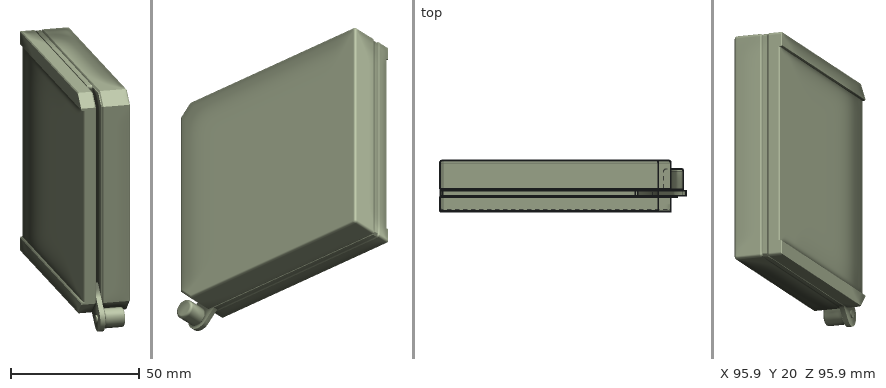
import cadquery as cq
import math

overall_side = 95.9

case_side = 90.0
case_depth = 20.0
corner_radius = 1.15
corner_cut = 5.0
rear_fillet = 1.0

lid_depth = 6.1
plate_depth = 2.0
gap_width = 0.3
plate_front = lid_depth
plate_back = plate_front + plate_depth
shell_front = plate_back + gap_width

seam_chamfer = 0.6
plate_inset = 0.2
plate_chamfer = 1.0

rail_height = 5.95
panel_recess = 1.0
lid_chamfer = 0.4

diagonal = math.sqrt(0.5)
lug_radius = 5.0
lug_x = overall_side - lug_radius
lug_z = case_side - lug_x
flank_offset = lug_radius * diagonal
arm_length = 8.2
boss_radius = 3.9
boss_back = 16.7
boss_fillet = 1.0
pin_radius = 1.5
pin_projection = 0.6

cutout_left = 77.0
flank_start_x = 85.1


def block(x_range, y_range, z_range):
    size = [end - start for start, end in (x_range, y_range, z_range)]
    origin = (x_range[0], y_range[0], z_range[0])
    return cq.Workplane("XY").box(*size, centered=False).translate(origin)


def disc(radius, y_start, y_end):
    """Cylinder along Y on the lug axis."""
    plane = cq.Workplane("XZ", origin=(lug_x, y_start, lug_z))
    return plane.circle(radius).extrude(y_start - y_end)


def case_layer(y_start, y_end):
    """Square slab with rounded left corners and cut-off right corners."""
    layer = block((0, case_side), (y_start, y_end), (0, case_side))
    layer = layer.edges("|Y and <X").fillet(corner_radius)
    return layer.edges("|Y and >X").chamfer(corner_cut)


def rear_shell():
    shell = case_layer(shell_front, case_depth)
    shell = shell.faces("<Y").chamfer(seam_chamfer)
    return shell.faces(">Y").edges().fillet(rear_fillet)


def core():
    """Set-back filling of the gap between the plate and the rear shell."""
    outline = case_layer(plate_back, shell_front)
    low = seam_chamfer
    high = case_side - seam_chamfer
    return outline.intersect(block((low, high), (plate_back, shell_front), (low, high)))


def rail(z_start, z_end):
    """Strip standing in front of the panel, bevelled along its long edges and left end."""
    strip = block((0, case_side), (0, lid_depth / 2), (z_start, z_end))
    return strip.faces("<Y").edges("|X or <X").chamfer(lid_chamfer)


def lid():
    base = case_layer(panel_recess, lid_depth)
    base = base.faces(">Y").chamfer(seam_chamfer)
    panel = base.faces("<Y").edges("<X or >X").chamfer(lid_chamfer)
    rails = rail(0, rail_height).union(rail(case_side - rail_height, case_side))
    return panel.union(rails.intersect(case_layer(0, lid_depth / 2)))


def plate_cutout():
    top = case_side - plate_inset
    flank_start_z = lug_x + lug_z + 2 * flank_offset - flank_start_x
    floor_radius = (flank_start_x - cutout_left) / diagonal
    floor_centre_z = flank_start_z + floor_radius * diagonal
    middle_angle = math.radians(45 / 2)
    floor_middle = (
        cutout_left + floor_radius * math.sin(middle_angle),
        floor_centre_z - floor_radius * math.cos(middle_angle),
    )
    return (
        cq.Workplane("XZ", origin=(0, plate_front, 0))
        .moveTo(cutout_left - plate_chamfer, top)
        .lineTo(cutout_left, top - plate_chamfer)
        .lineTo(cutout_left, floor_centre_z - floor_radius)
        .threePointArc(floor_middle, (flank_start_x, flank_start_z))
        .lineTo(lug_x + flank_offset, lug_z + flank_offset)
        .lineTo(overall_side, top)
        .close()
        .extrude(-plate_depth)
    )


def middle_plate():
    low = plate_inset
    high = case_side - plate_inset
    plate = block((low, high), (plate_front, plate_back), (low, high))
    plate = plate.edges("|Y and <X").chamfer(plate_chamfer)
    return plate.cut(plate_cutout())


def lug():
    arm = block((-arm_length, 0), (plate_front, plate_back), (-lug_radius, lug_radius))
    arm = arm.rotate((0, 0, 0), (0, 1, 0), 45).translate((lug_x, 0, lug_z))
    eye = disc(lug_radius, plate_front, plate_back)
    boss = disc(boss_radius, plate_back, boss_back)
    boss = boss.faces("<Y").chamfer(seam_chamfer)
    boss = boss.faces(">Y").edges().fillet(boss_fillet)
    pin = disc(pin_radius, plate_front - pin_projection, plate_front)
    return arm.union(eye).union(boss).union(pin)


result = rear_shell().union(core()).union(middle_plate()).union(lid()).union(lug())